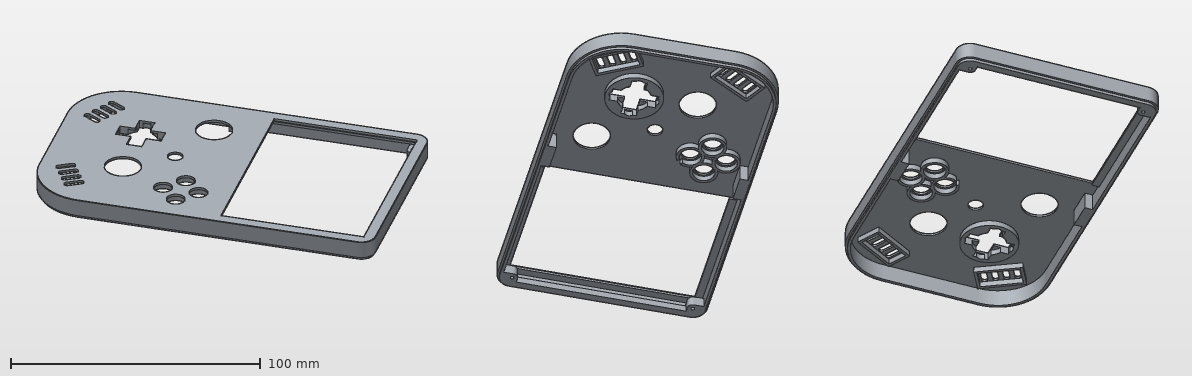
import cadquery as cq
LENGTH = 145.0
WIDTH = 86.5
HEIGHT = 8.5
LEFT_RADIUS = 22.5
RIGHT_RADIUS = 6.0
TOP_CHAMFER = 0.22
WALL = 2.0
PLATE = 1.0

LIP_STEP = 0.9
LIP_HEIGHT = 1.3

WINDOW_LEFT = 8.4
WINDOW_RIGHT = 68.0
WINDOW_WIDTH = 77.5
FRAME_INSET = 0.6
FRAME_DEPTH = 2.0

SHELF_HEIGHT = 2.9
SHELF_FACE_X = 68.6
BOSS_DIAMETER = 4.5
BOSS_HOLE = 1.4
BOSS_HEIGHT = 4.5
BOSS_X = 66.5
BOSS_Y = 37.3

PAD_LEFT = -10.2
PAD_RIGHT = 1.5
PAD_FACE_Y = 37.8

COLLAR_DEPTH = 3.5
COLLAR_WALL = 1.2
STICK_DIAMETER = 15.0
STICK_RIGHT = (-12.3, 23.8)
STICK_LEFT = (-39.7, -13.2)
MENU_DIAMETER = 6.2
MENU_X = -21.8

CROSS_CENTER = (-39.9, 13.0)
CROSS_SPAN = 19.0
CROSS_ARM = 6.4
CROSS_COLLAR_DIAMETER = 23.6
CROSS_POCKET_DIAMETER = 13.9
CROSS_RELIEF_DIAMETER = 4.5
CROSS_RELIEF_OFFSET = 8.0

BUTTON_CENTER = (-12.5, -24.2)
BUTTON_OFFSET = 7.4
BUTTON_DIAMETER = 7.5
BUTTON_BORE = 9.0
BUTTON_NOTCH = 2.3
BUTTON_NOTCH_ANGLE = 45

SLOT_COUNT = 4
SLOT_PITCH = 4.5
SLOT_LENGTH = 8.1
SLOT_WIDTH = 2.6
SLOT_TILT = 30
SPEAKER_X = -58.5
SPEAKER_Y = 25.1
SPEAKER_END_CLEARANCE = 0.1
SPEAKER_ROW_CLEARANCE = 0.7

PLATE_Z = HEIGHT - PLATE
COLLAR_Z = HEIGHT - COLLAR_DEPTH
COLLAR_HEIGHT = COLLAR_DEPTH - PLATE
CAVITY_RIGHT = LENGTH / 2 - WALL
CAVITY_BACK = WIDTH / 2 - WALL


def rounded_slab(inset, bottom, top):
    """Slab with the shell outline moved inwards by inset."""
    slab = cq.Workplane("XY", origin=(0, 0, bottom)).rect(LENGTH - 2 * inset, WIDTH - 2 * inset)
    slab = slab.extrude(top - bottom)
    slab = slab.edges("|Z and <X").fillet(LEFT_RADIUS - inset)
    return slab.edges("|Z and >X").fillet(RIGHT_RADIUS - inset)


def block(x_min, x_max, y_min, y_max, bottom, top):
    """Axis-aligned block between the given limits."""
    size = (x_max - x_min, y_max - y_min, top - bottom)
    return cq.Workplane("XY").box(*size, centered=False).translate((x_min, y_min, bottom))


def cylinders(points, diameter, bottom, top):
    """Vertical cylinders at the given points."""
    plane = cq.Workplane("XY", origin=(0, 0, bottom))
    return plane.pushPoints(points).circle(diameter / 2).extrude(top - bottom)


def around(center, offset):
    """Four points at the given offset from a center, along X and Y."""
    x, y = center
    return [(x + offset, y), (x - offset, y), (x, y + offset), (x, y - offset)]


def shell():
    """Open-bottomed shell with a stepped lip and a chamfered top edge."""
    body = rounded_slab(0, LIP_HEIGHT, HEIGHT).faces(">Z").edges().chamfer(TOP_CHAMFER)
    body = body.union(rounded_slab(LIP_STEP, 0, LIP_HEIGHT))
    return body.cut(rounded_slab(WALL, 0, PLATE_Z))


def window_frame():
    """Thicker rim under the plate on three sides of the window."""
    opening_y = WINDOW_WIDTH / 2 - FRAME_INSET
    frame_z = HEIGHT - FRAME_DEPTH
    rim = block(WINDOW_LEFT, CAVITY_RIGHT, -CAVITY_BACK, CAVITY_BACK, frame_z, PLATE_Z)
    return rim.cut(block(WINDOW_LEFT, WINDOW_RIGHT - FRAME_INSET, -opening_y, opening_y, frame_z, PLATE_Z))


def corner_boss():
    """Screw boss in the back right corner, rounded on its free corner."""
    radius = BOSS_DIAMETER / 2
    boss = block(BOSS_X - radius, CAVITY_RIGHT, BOSS_Y - radius, CAVITY_BACK, 0, BOSS_HEIGHT)
    boss = boss.edges("|Z and <X and <Y").fillet(radius)
    return boss.cut(cylinders([(BOSS_X, BOSS_Y)], BOSS_HOLE, 0, BOSS_HEIGHT))


def cross_collar():
    """Round collar under the cross opening, with a central pocket and a relief at each arm tip."""
    collar = cylinders([CROSS_CENTER], CROSS_COLLAR_DIAMETER, COLLAR_Z, PLATE_Z)
    collar = collar.cut(cylinders([CROSS_CENTER], CROSS_POCKET_DIAMETER, COLLAR_Z, PLATE_Z))
    reliefs = around(CROSS_CENTER, CROSS_RELIEF_OFFSET)
    return collar.cut(cylinders(reliefs, CROSS_RELIEF_DIAMETER, COLLAR_Z, PLATE_Z))


def cross_opening():
    """Plus-shaped opening through the plate and its collar."""
    opening = cq.Workplane("XY", origin=(*CROSS_CENTER, COLLAR_Z)).rect(CROSS_SPAN, CROSS_ARM)
    opening = opening.extrude(COLLAR_DEPTH)
    return opening.union(opening.rotate((*CROSS_CENTER, 0), (*CROSS_CENTER, 1), 90))


def button_collars():
    """Joined collars under the four buttons; the back one is notched diagonally."""
    centers = around(BUTTON_CENTER, BUTTON_OFFSET)
    collars = cylinders(centers, BUTTON_BORE + 2 * COLLAR_WALL, COLLAR_Z, PLATE_Z)
    collars = collars.cut(cylinders(centers, BUTTON_BORE, COLLAR_Z, PLATE_Z))
    back_button = (BUTTON_CENTER[0], BUTTON_CENTER[1] + BUTTON_OFFSET)
    notch = block(0, BUTTON_BORE, -BUTTON_NOTCH / 2, BUTTON_NOTCH / 2, COLLAR_Z, PLATE_Z)
    notch = notch.rotate((0, 0, 0), (0, 0, 1), BUTTON_NOTCH_ANGLE).translate((*back_button, 0))
    return collars.cut(notch)


def place_speaker(shape):
    """Tilt a shape built at the origin and move it to the back left corner."""
    return shape.rotate((0, 0, 0), (0, 0, 1), -SLOT_TILT).translate((SPEAKER_X, SPEAKER_Y, 0))


def speaker_slots():
    """Row of slots through the plate."""
    plane = cq.Workplane("XY", origin=(0, 0, PLATE_Z))
    slots = plane.rarray(1.5, SLOT_PITCH, 1, SLOT_COUNT).slot2D(SLOT_LENGTH, SLOT_WIDTH)
    return place_speaker(slots.extrude(PLATE))


def speaker_frame():
    """Rectangular frame under the plate around a row of slots."""
    inner_x = SLOT_LENGTH + 2 * SPEAKER_END_CLEARANCE
    inner_y = (SLOT_COUNT - 1) * SLOT_PITCH + SLOT_WIDTH + 2 * SPEAKER_ROW_CLEARANCE
    plane = cq.Workplane("XY", origin=(0, 0, COLLAR_Z))
    frame = plane.rect(inner_x + 2 * COLLAR_WALL, inner_y + 2 * COLLAR_WALL).rect(inner_x, inner_y)
    return place_speaker(frame.extrude(COLLAR_HEIGHT))


def both_sides(shape):
    """The shape and its mirror image across the lengthwise middle plane."""
    return shape.union(shape.mirror("XZ"))


additions = window_frame()
additions = additions.union(block(SHELF_FACE_X, CAVITY_RIGHT, -CAVITY_BACK, CAVITY_BACK, 0, SHELF_HEIGHT))
wall_pad = block(PAD_LEFT, PAD_RIGHT, PAD_FACE_Y, CAVITY_BACK, 0, PLATE_Z)
additions = additions.union(both_sides(corner_boss())).union(both_sides(wall_pad))
additions = additions.intersect(rounded_slab(LIP_STEP, 0, HEIGHT))
result = shell().union(additions)
result = result.union(cross_collar()).union(button_collars()).union(both_sides(speaker_frame()))

half_window = WINDOW_WIDTH / 2
result = result.cut(block(WINDOW_LEFT, WINDOW_RIGHT, -half_window, half_window, PLATE_Z, HEIGHT))
result = result.cut(cylinders([STICK_LEFT, STICK_RIGHT], STICK_DIAMETER, PLATE_Z, HEIGHT))
result = result.cut(cylinders([(MENU_X, 0)], MENU_DIAMETER, PLATE_Z, HEIGHT))
result = result.cut(cylinders(around(BUTTON_CENTER, BUTTON_OFFSET), BUTTON_DIAMETER, PLATE_Z, HEIGHT))
result = result.cut(cross_opening())
result = result.cut(both_sides(speaker_slots()))